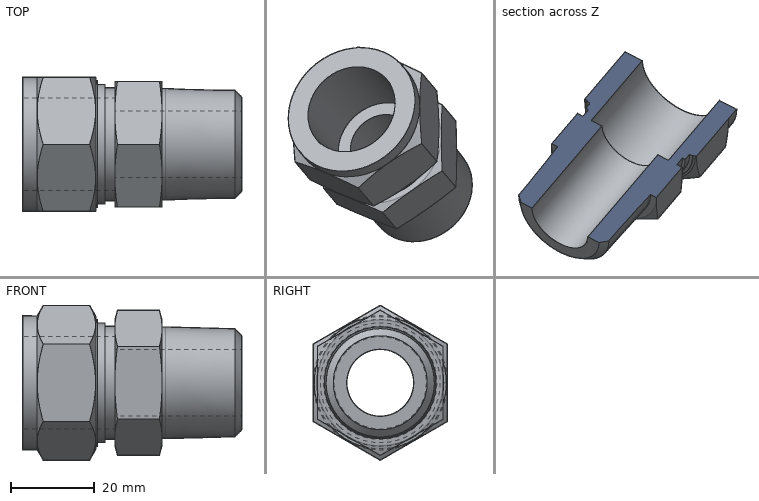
import cadquery as cq
import math

TOTAL_LENGTH = 52.3
COLLAR_END = 3.5
NUT_END = 17.55
NUT_LIP_END = 17.85
RING_END = 19.7
BODY_HEX_START = 22.0
BODY_HEX_END = 33.25
THREAD_START = 34.1

NUT_ACROSS_FLATS = 32.0
NUT_FACE_RADIUS = 15.75
NUT_CHAMFER_ANGLE = 30.0
COLLAR_RADIUS = NUT_ACROSS_FLATS / 2
NUT_LIP_RADIUS = 15.15

RING_RADIUS = 14.3
NECK_RADIUS = 13.5
BODY_ACROSS_FLATS = 30.0
BODY_FACE_RADIUS = BODY_ACROSS_FLATS / 2
BODY_CHAMFER_ANGLE = 15.0

THREAD_RADIUS = 13.335
THREAD_END_RADIUS = 12.9
THREAD_CHAMFER = 1.7

THROUGH_RADIUS = 7.95
SOCKET_RADIUS = 11.0
SOCKET_DEPTH = BODY_HEX_START


def cylinder(start, end, radius):
    """Cylinder on the X axis between two axial stations."""
    return cq.Workplane("YZ", origin=(start, 0, 0)).circle(radius).extrude(end - start)


def revolve_about_x(points):
    """Solid of revolution from (axial, radial) profile points."""
    return cq.Workplane("XZ").polyline(points).close().revolve(360, (0, 0, 0), (1, 0, 0))


def chamfered_hex(start, end, across_flats, start_radius, end_radius, angle):
    """Hexagon with corners up and down, its corners turned off by a cone at each end."""
    corner_radius = across_flats / math.sqrt(3)
    slope = math.tan(math.radians(angle))
    prism = (
        cq.Workplane("YZ", origin=(start, 0, 0))
        .polygon(6, 2 * corner_radius)
        .extrude(end - start)
        .rotate((0, 0, 0), (1, 0, 0), 90)
    )
    envelope = revolve_about_x([
        (start, 0),
        (start, start_radius),
        (start + (corner_radius - start_radius) * slope, corner_radius),
        (end - (corner_radius - end_radius) * slope, corner_radius),
        (end, end_radius),
        (end, 0),
    ])
    return prism.intersect(envelope)


def make_nut():
    """Compression nut: round collar, hexagon and short rear lip."""
    collar = cylinder(0, COLLAR_END, COLLAR_RADIUS)
    hexagon = chamfered_hex(
        COLLAR_END, NUT_END, NUT_ACROSS_FLATS, COLLAR_RADIUS, NUT_FACE_RADIUS, NUT_CHAMFER_ANGLE
    )
    lip = cylinder(NUT_END, NUT_LIP_END, NUT_LIP_RADIUS)
    return collar.union(hexagon).union(lip)


def make_thread_blank():
    """Straight shoulder, then the taper with a 45 degree lead chamfer."""
    taper_end = TOTAL_LENGTH - THREAD_CHAMFER
    return revolve_about_x([
        (BODY_HEX_END, 0),
        (BODY_HEX_END, THREAD_RADIUS),
        (THREAD_START, THREAD_RADIUS),
        (taper_end, THREAD_END_RADIUS),
        (TOTAL_LENGTH, THREAD_END_RADIUS - THREAD_CHAMFER),
        (TOTAL_LENGTH, 0),
    ])


def make_body():
    """Fitting body: ring, neck, hexagon and thread blank."""
    ring = cylinder(NUT_LIP_END, RING_END, RING_RADIUS)
    neck = cylinder(RING_END, BODY_HEX_START, NECK_RADIUS)
    hexagon = chamfered_hex(
        BODY_HEX_START,
        BODY_HEX_END,
        BODY_ACROSS_FLATS,
        BODY_FACE_RADIUS,
        BODY_FACE_RADIUS,
        BODY_CHAMFER_ANGLE,
    )
    return ring.union(neck).union(hexagon).union(make_thread_blank())


socket = cylinder(0, SOCKET_DEPTH, SOCKET_RADIUS)
through_bore = cylinder(0, TOTAL_LENGTH, THROUGH_RADIUS)
result = make_nut().union(make_body()).cut(socket).cut(through_bore)